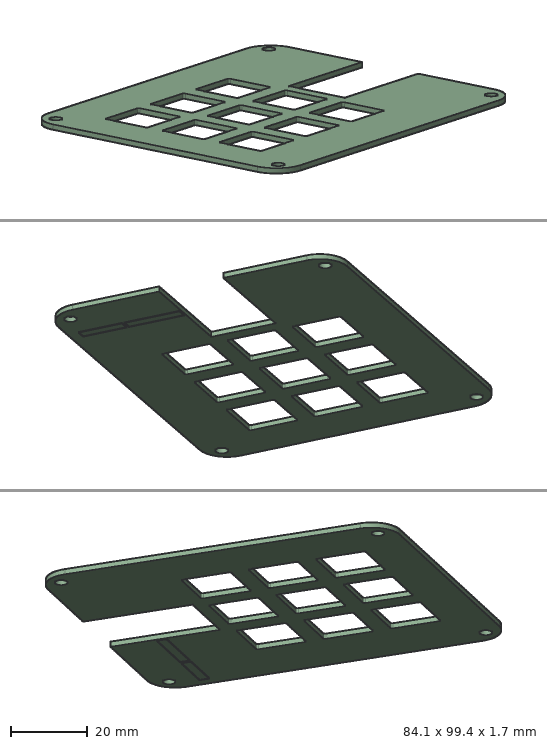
import cadquery as cq

plate_width = 84.1
plate_length = 99.4
plate_thickness = 1.5
corner_radius = 8.0

hole_diameter = 3.4
hole_inset = 5.0

window_size = 14.0
window_pitch = 19.0
window_corner_radius = 0.5
windows_per_side = 3
window_grid_center = (-0.9, -10.9)

notch_width = 18.7
notch_depth = 30.9
notch_center_x = -0.5

pad_height = 0.2
pad_width = 2.8
pad_gap = 0.7
pad_row_start_x = 9.2
pad_row_center_y = 35.4
pad_lengths = (16.1, 12.6)


def make_plate():
    plate = cq.Workplane("XY").box(
        plate_width, plate_length, plate_thickness, centered=(True, True, False)
    )
    return plate.edges("|Z").fillet(corner_radius)


def make_corner_holes():
    return (
        cq.Workplane("XY")
        .rect(plate_width - 2 * hole_inset, plate_length - 2 * hole_inset, forConstruction=True)
        .vertices()
        .circle(hole_diameter / 2)
        .extrude(plate_thickness)
    )


def make_windows():
    return (
        cq.Workplane("XY")
        .center(*window_grid_center)
        .rarray(window_pitch, window_pitch, windows_per_side, windows_per_side)
        .rect(window_size, window_size)
        .extrude(plate_thickness)
        .edges("|Z")
        .fillet(window_corner_radius)
    )


def make_notch():
    notch_center_y = plate_length / 2 - notch_depth / 2
    return (
        cq.Workplane("XY")
        .center(notch_center_x, notch_center_y)
        .rect(notch_width, notch_depth)
        .extrude(plate_thickness)
    )


def add_underside_pads(body):
    start_x = pad_row_start_x
    for pad_length in pad_lengths:
        pad = (
            cq.Workplane("XY")
            .center(start_x + pad_length / 2, pad_row_center_y)
            .rect(pad_length, pad_width)
            .extrude(-pad_height)
        )
        body = body.union(pad)
        start_x += pad_length + pad_gap
    return body


plate = make_plate().cut(make_corner_holes()).cut(make_windows()).cut(make_notch())
result = add_underside_pads(plate)